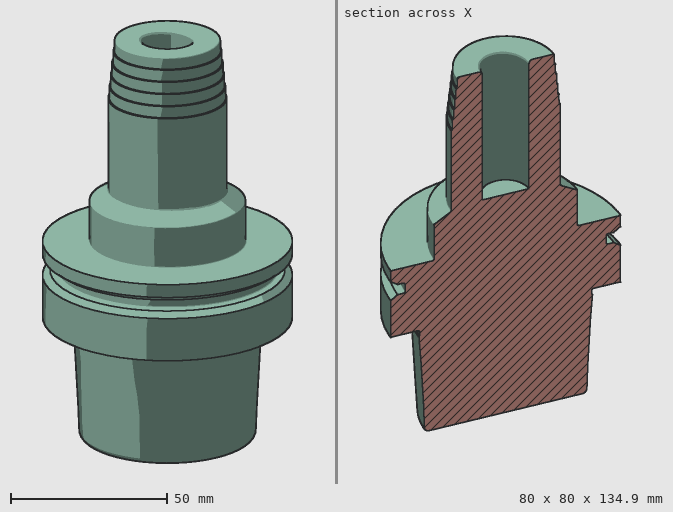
import cadquery as cq
import math


shank_length = 39.9
shank_top_radius = 30.25
shank_tip_radius = 28.25
shank_tip_fillet = 1.7

relief_radius = 30.0
relief_height = 1.7
relief_bevel_height = 0.7
relief_fillet = 0.5

flange_radius = 40.0
flange_height = 26.0
groove_mid_height = 18.0
groove_floor_radius = 35.0
groove_floor_fillet = 0.7
groove_throat_radius = 37.6
groove_throat_width = 3.8
groove_mouth_width = 7.2

collar_radius = 25.0
collar_top_height = 39.9
collar_edge_fillet = 0.5
collar_foot_fillet = 0.5
neck_radius = 19.0
neck_root_fillet = 1.0
shoulder_angle = 30.0
shoulder_rise = (collar_radius - neck_radius) * math.tan(math.radians(shoulder_angle))
shoulder_top_height = collar_top_height + shoulder_rise

overall_projection = 95.0
nose_tip_radius = 16.95
nose_tip_fillet = 0.6
nose_bands = 5
band_height = 4.0
band_taper = band_height * math.tan(math.radians(1.2))
nose_base_height = overall_projection - nose_bands * band_height
ledge_width = (neck_radius - nose_tip_radius) / nose_bands - band_taper
ledge_drop = ledge_width * math.tan(math.radians(shoulder_angle))

bore_radius = 8.0
bore_depth = 50.0
bore_mouth_fillet = 1.6

match_tolerance = 0.01


def revolve_profile(points):
    """Solid of revolution about Z from (radius, height) points."""
    profile = cq.Workplane("XZ").polyline(points).close()
    return profile.revolve(360, (0, 0, 0), (0, 1, 0))


def round_edge(body, radius, height, fillet):
    """Fillet the circular edge of the given radius at the given height."""
    def is_wanted(edge):
        if edge.geomType() != "CIRCLE":
            return False
        right_radius = abs(edge.radius() - radius) < match_tolerance
        right_height = abs(edge.Center().z - height) < match_tolerance
        return right_radius and right_height

    return body.edges().filter(is_wanted).fillet(fillet)


def make_shank():
    points = [
        (0, -shank_length),
        (shank_tip_radius, -shank_length),
        (shank_top_radius, -relief_height - relief_bevel_height),
        (relief_radius, -relief_height),
        (relief_radius, 0),
        (0, 0),
    ]
    return revolve_profile(points)


def make_flange():
    throat_bottom = groove_mid_height - groove_throat_width / 2
    throat_top = groove_mid_height + groove_throat_width / 2
    points = [
        (0, 0),
        (flange_radius, 0),
        (flange_radius, groove_mid_height - groove_mouth_width / 2),
        (groove_throat_radius, throat_bottom),
        (groove_floor_radius, throat_bottom),
        (groove_floor_radius, throat_top),
        (groove_throat_radius, throat_top),
        (flange_radius, groove_mid_height + groove_mouth_width / 2),
        (flange_radius, flange_height),
        (0, flange_height),
    ]
    flange = revolve_profile(points)
    for corner_height in (throat_bottom, throat_top):
        flange = round_edge(flange, groove_floor_radius, corner_height, groove_floor_fillet)
    return flange


def make_upper_body():
    """Collar, conical shoulder, neck and banded nose."""
    points = [
        (0, flange_height),
        (collar_radius, flange_height),
        (collar_radius, collar_top_height),
        (neck_radius, shoulder_top_height),
    ]
    radius = neck_radius
    for band in range(nose_bands):
        ledge_height = nose_base_height + band * band_height
        points.append((radius, ledge_height - ledge_drop))
        points.append((radius - ledge_width, ledge_height))
        radius -= ledge_width + band_taper
    points.append((nose_tip_radius, overall_projection))
    points.append((0, overall_projection))
    return revolve_profile(points)


def make_bore():
    bottom = overall_projection - bore_depth
    return cq.Workplane("XY", origin=(0, 0, bottom)).circle(bore_radius).extrude(bore_depth)


result = make_shank().union(make_flange()).union(make_upper_body()).cut(make_bore())
result = round_edge(result, shank_tip_radius, -shank_length, shank_tip_fillet)
result = round_edge(result, relief_radius, 0, relief_fillet)
result = round_edge(result, collar_radius, flange_height, collar_foot_fillet)
result = round_edge(result, collar_radius, collar_top_height, collar_edge_fillet)
result = round_edge(result, neck_radius, shoulder_top_height, neck_root_fillet)
result = round_edge(result, nose_tip_radius, overall_projection, nose_tip_fillet)
result = round_edge(result, bore_radius, overall_projection, bore_mouth_fillet)